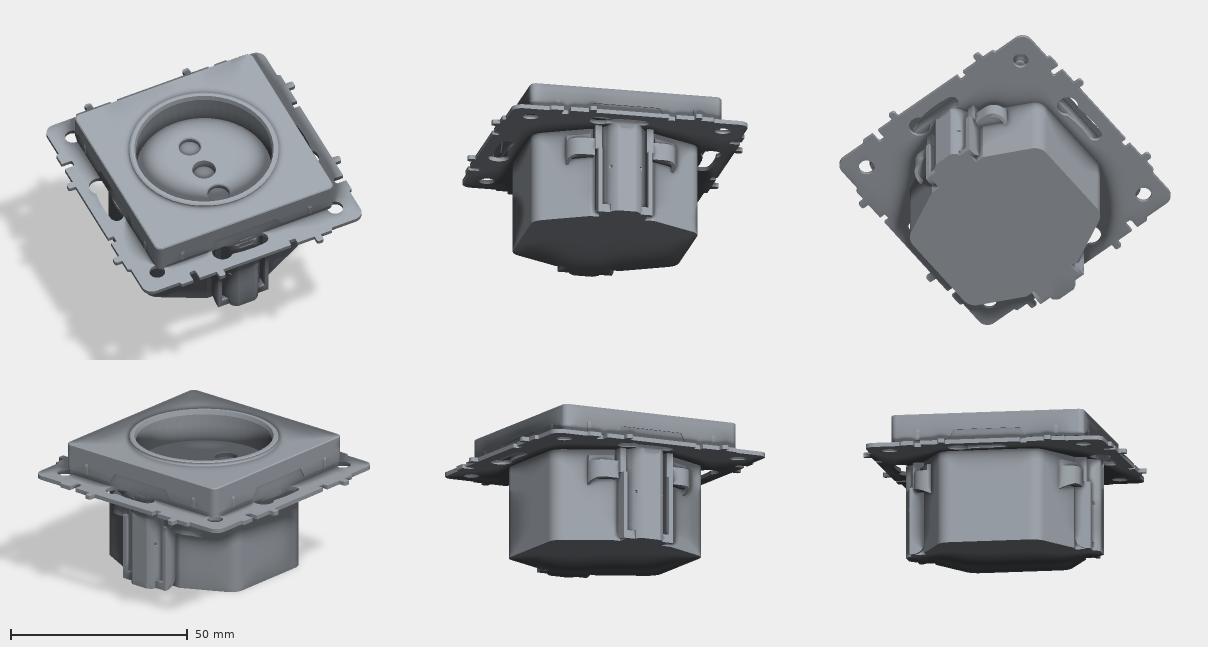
import cadquery as cq
import math

PLATE_BOTTOM = 26.3
PLATE_THICKNESS = 1.2
PLATE_TOP = PLATE_BOTTOM + PLATE_THICKNESS
COVER_BOTTOM = 28.9
COVER_TOP = 36.5
RING_TOP = 37.65
WELL_FLOOR = 28.6

PLATE_REACH = 37.2
PLATE_CORNER_HALF = 34.2
PLATE_CORNER_RADIUS = 3.0
PLATE_EDGE_HALF = 35.1
EDGE_STEP_START = 23.5
EDGE_STEP_END = 23.95
NEAR_OFFSET = 11.7
FAR_OFFSET = 19.0
TAB_WIDTH = 2.0
TAB_RADIUS = 0.6
SHALLOW_NOTCH_DEPTH = 1.7
DEEP_NOTCH_DEPTH = 3.1
NOTCH_RADIUS = 0.5
SCREW_HOLE_OFFSET = 27.9
SCREW_HOLE_RADIUS = 2.2
ARC_SLOT_RADIUS = 29.6
ARC_SLOT_HALF_WIDTH = 1.9
ARC_SLOT_END_OFFSET = 4.1
KEYHOLE_OFFSET = 7.95
KEYHOLE_CENTRE_RADIUS = 30.05
KEYHOLE_RADIUS = 3.0

COVER_HALF = 27.8
COVER_CORNER_RADIUS = 1.8
COVER_EDGE_BEVEL = 0.3
FRAME_HALF = 27.5
FRAME_CORNER_RADIUS = 1.5
WINDOW_TOP = 31.8
WINDOW_BASE_HALF = 11.15
WINDOW_TOP_HALF = 9.5
RIB_OFFSET = 19.95
RIB_WIDTH = 1.05
RIB_TOP = 32.15
RIB_BEVEL = 0.8
RIB_PROUD = 0.2

RING_BASE_RADIUS = 21.65
RING_SHOULDER_RADIUS = 21.1
RING_CREST_RADIUS = 20.7
RING_LIP_RADIUS = 19.7
WELL_RADIUS = 19.3
RING_OUTER_BEVEL = 0.2
RING_INNER_BEVEL = 1.2
RING_HOLLOW = 0.185
PIN_PITCH = 9.5
PIN_MOUTH_RADIUS = 3.35
SIDE_PIN_RADIUS = 3.05
SIDE_PIN_DEPTH = 1.5
CENTRE_PIN_FLOOR_RADIUS = 3.1
CENTRE_PIN_DEPTH = 2.3

HOUSING_HALF_Y = 24.1
HOUSING_SHOULDER_X = 14.05
HOUSING_SIDE_X = 21.6
HOUSING_SIDE_Y = 9.3
HOUSING_EDGE_RADIUS = 4.2
TOWER_REACH = 28.05
TOWER_FACE_HALF = 2.6
TOWER_NECK_X = 25.0
TOWER_NECK_HALF = 5.2
TOWER_CORNER_BULGE = 0.3
TOWER_ROOT_X = 23.1
TOWER_ROOT_HALF = 6.55
TOWER_HEAD_HALF = 8.4
RAIL_TOP = 19.2
RAIL_OUTER_X = 26.05
RAIL_INNER_Y = 6.7
RAIL_OUTER_Y = 7.9
RAIL_BOTTOM_RADIUS = 3.7
FOOT_HEIGHT = 2.3
FOOT_INNER_Y = 4.3
DIMPLE_HEIGHT = 13.55
DIMPLE_SIZE = 0.9
DIMPLE_OFFSET = 4.5
POCKET_BOTTOM = 24.9
POCKET_BASE_HALF = 1.85
POCKET_DEPTH = 0.3

CLAW_INNER_X = 18.4
CLAW_OUTER_X = 23.95
CLAW_FRONT_Y = 15.6
CLAW_BEND_START_Y = 11.6
CLAW_BOTTOM = 17.6
CLAW_TOP = 22.6
CLAW_STRIP_TOP = 24.4
CLAW_STRIP_WIDTH = 1.1
CLAW_LIP_THICKNESS = 1.0
CLAW_LIP_BOTTOM = 15.9
CLAW_SLOPE_END_X = 22.9


def block(x_range, y_range, z_range):
    size = [high - low for low, high in (x_range, y_range, z_range)]
    return cq.Workplane("XY").box(*size, centered=False).translate((x_range[0], y_range[0], z_range[0]))


def prism(points, bottom, top):
    return cq.Workplane("XY").workplane(offset=bottom).polyline(points).close().extrude(top - bottom)


def rounded_square(half, radius, bottom, top):
    square = cq.Workplane("XY").workplane(offset=bottom).rect(2 * half, 2 * half).extrude(top - bottom)
    return square.edges("|Z").fillet(radius)


def four_times(shape):
    """Repeat a feature of the +Y edge on all four edges."""
    ring = shape
    for turn in (90, 180, 270):
        ring = ring.union(shape.rotate((0, 0, 0), (0, 0, 1), turn))
    return ring


def on_all_quadrants(shape):
    """Mirror a feature of the +X +Y quadrant into the other three."""
    pair = shape.union(shape.mirror("YZ"))
    return pair.union(pair.mirror("XZ"))


def edge_tab(offset):
    tab = block(
        (offset - TAB_WIDTH / 2, offset + TAB_WIDTH / 2),
        (PLATE_CORNER_HALF, PLATE_REACH),
        (PLATE_BOTTOM, PLATE_TOP),
    )
    return tab.edges("|Z and >Y").fillet(TAB_RADIUS)


def edge_notch(offset, depth):
    return block(
        (offset - TAB_WIDTH / 2, offset + TAB_WIDTH / 2),
        (PLATE_EDGE_HALF - depth, PLATE_REACH),
        (PLATE_BOTTOM, PLATE_TOP),
    )


def arc_slot():
    """Slot curved about the centre, with a round keyhole at one end."""
    end_height = math.sqrt(ARC_SLOT_RADIUS**2 - ARC_SLOT_END_OFFSET**2)
    inner = (ARC_SLOT_RADIUS - ARC_SLOT_HALF_WIDTH) / ARC_SLOT_RADIUS
    outer = (ARC_SLOT_RADIUS + ARC_SLOT_HALF_WIDTH) / ARC_SLOT_RADIUS
    key_y = math.sqrt(KEYHOLE_CENTRE_RADIUS**2 - KEYHOLE_OFFSET**2)
    far_y = math.sqrt(ARC_SLOT_RADIUS**2 - KEYHOLE_OFFSET**2)
    plane = cq.Workplane("XY").workplane(offset=PLATE_BOTTOM)
    band = (
        plane.moveTo(-ARC_SLOT_END_OFFSET * inner, end_height * inner)
        .threePointArc((0, ARC_SLOT_RADIUS * inner), (KEYHOLE_OFFSET * inner, far_y * inner))
        .lineTo(KEYHOLE_OFFSET * outer, far_y * outer)
        .threePointArc((0, ARC_SLOT_RADIUS * outer), (-ARC_SLOT_END_OFFSET * outer, end_height * outer))
        .close()
        .extrude(PLATE_THICKNESS)
    )
    end_centre = plane.center(-ARC_SLOT_END_OFFSET, end_height)
    round_end = end_centre.circle(ARC_SLOT_HALF_WIDTH).extrude(PLATE_THICKNESS)
    keyhole = plane.center(KEYHOLE_OFFSET, key_y).circle(KEYHOLE_RADIUS).extrude(PLATE_THICKNESS)
    return band.union(round_end).union(keyhole)


def mounting_plate():
    plate = rounded_square(PLATE_CORNER_HALF, PLATE_CORNER_RADIUS, PLATE_BOTTOM, PLATE_TOP)
    raised_edge = prism(
        [
            (-EDGE_STEP_END, PLATE_CORNER_HALF),
            (-EDGE_STEP_START, PLATE_EDGE_HALF),
            (EDGE_STEP_START, PLATE_EDGE_HALF),
            (EDGE_STEP_END, PLATE_CORNER_HALF),
            (0, 0),
        ],
        PLATE_BOTTOM,
        PLATE_TOP,
    )
    tabs = edge_tab(-FAR_OFFSET).union(edge_tab(NEAR_OFFSET))
    deep_notch = edge_notch(FAR_OFFSET, DEEP_NOTCH_DEPTH).edges("|Z and <Y").fillet(NOTCH_RADIUS)
    notches = edge_notch(-NEAR_OFFSET, SHALLOW_NOTCH_DEPTH).union(deep_notch)
    screw_hole = (
        cq.Workplane("XY")
        .workplane(offset=PLATE_BOTTOM)
        .center(SCREW_HOLE_OFFSET, SCREW_HOLE_OFFSET)
        .circle(SCREW_HOLE_RADIUS)
        .extrude(PLATE_THICKNESS)
    )
    openings = notches.union(screw_hole).union(arc_slot())
    return plate.union(four_times(raised_edge.union(tabs))).cut(four_times(openings))


def cover_window():
    """Trapezoidal opening in the skirt that bares the frame."""
    return (
        cq.Workplane("XZ", origin=(0, FRAME_HALF, 0))
        .polyline(
            [
                (-WINDOW_BASE_HALF, COVER_BOTTOM),
                (-WINDOW_TOP_HALF, WINDOW_TOP),
                (WINDOW_TOP_HALF, WINDOW_TOP),
                (WINDOW_BASE_HALF, COVER_BOTTOM),
            ]
        )
        .close()
        .extrude(FRAME_HALF - COVER_HALF)
    )


def skirt_rib(offset):
    face = COVER_HALF + RIB_PROUD
    return (
        cq.Workplane("YZ", origin=(offset - RIB_WIDTH / 2, 0, 0))
        .polyline(
            [
                (FRAME_HALF, COVER_BOTTOM),
                (face, COVER_BOTTOM),
                (face, RIB_TOP - RIB_BEVEL),
                (COVER_HALF, RIB_TOP),
                (FRAME_HALF, RIB_TOP),
            ]
        )
        .close()
        .extrude(RIB_WIDTH)
    )


def cover():
    shell = rounded_square(COVER_HALF, COVER_CORNER_RADIUS, COVER_BOTTOM, COVER_TOP)
    shell = shell.faces(">Z").edges().chamfer(COVER_EDGE_BEVEL)
    frame = rounded_square(FRAME_HALF, FRAME_CORNER_RADIUS, PLATE_TOP, COVER_BOTTOM)
    ribs = skirt_rib(-RIB_OFFSET).union(skirt_rib(RIB_OFFSET))
    return shell.cut(four_times(cover_window())).union(four_times(ribs)).union(frame)


def socket_ring():
    flank_middle = (
        (RING_BASE_RADIUS + RING_SHOULDER_RADIUS) / 2 - RING_HOLLOW,
        (COVER_TOP + RING_TOP - RING_OUTER_BEVEL) / 2 - RING_HOLLOW,
    )
    return (
        cq.Workplane("XZ")
        .moveTo(WELL_RADIUS, COVER_BOTTOM)
        .lineTo(RING_BASE_RADIUS, COVER_BOTTOM)
        .lineTo(RING_BASE_RADIUS, COVER_TOP)
        .threePointArc(flank_middle, (RING_SHOULDER_RADIUS, RING_TOP - RING_OUTER_BEVEL))
        .lineTo(RING_CREST_RADIUS, RING_TOP)
        .lineTo(RING_LIP_RADIUS, RING_TOP)
        .lineTo(WELL_RADIUS, RING_TOP - RING_INNER_BEVEL)
        .close()
        .revolve(360, (0, 0, 0), (0, 1, 0))
    )


def socket_well():
    """The round well together with the bevel around its mouth."""
    return (
        cq.Workplane("XZ")
        .polyline(
            [
                (0, WELL_FLOOR),
                (WELL_RADIUS, WELL_FLOOR),
                (WELL_RADIUS, RING_TOP - RING_INNER_BEVEL),
                (RING_LIP_RADIUS, RING_TOP),
                (0, RING_TOP),
            ]
        )
        .close()
        .revolve(360, (0, 0, 0), (0, 1, 0))
    )


def pin_holes():
    """A tapered centre hole between two straight holes with bevelled mouths."""
    floor = cq.Workplane("XY").workplane(offset=WELL_FLOOR)
    centre = floor.circle(PIN_MOUTH_RADIUS).workplane(offset=-CENTRE_PIN_DEPTH)
    holes = centre.circle(CENTRE_PIN_FLOOR_RADIUS).loft()
    mouth_bevel = PIN_MOUTH_RADIUS - SIDE_PIN_RADIUS
    for x in (-PIN_PITCH, PIN_PITCH):
        bore = floor.center(x, 0).circle(SIDE_PIN_RADIUS).extrude(-SIDE_PIN_DEPTH)
        mouth = floor.center(x, 0).circle(PIN_MOUTH_RADIUS).workplane(offset=-mouth_bevel)
        holes = holes.union(bore).union(mouth.circle(SIDE_PIN_RADIUS).loft())
    return holes


def housing_core():
    corners = [(HOUSING_SIDE_X, HOUSING_SIDE_Y), (HOUSING_SHOULDER_X, HOUSING_HALF_Y)]
    upper = corners + [(-x, y) for x, y in reversed(corners)]
    outline = upper + [(-x, -y) for x, y in upper]
    core = prism(outline, 0, PLATE_BOTTOM)
    return core.edges("|Z").edges(">Y or <Y").fillet(HOUSING_EDGE_RADIUS)


def tower_half():
    """The +X +Y quarter of a side tower with its rail and foot."""
    corner_middle = (
        (TOWER_REACH + TOWER_NECK_X) / 2 + TOWER_CORNER_BULGE,
        (TOWER_FACE_HALF + TOWER_NECK_HALF) / 2 + TOWER_CORNER_BULGE,
    )
    column = (
        cq.Workplane("XY")
        .lineTo(TOWER_REACH, 0)
        .lineTo(TOWER_REACH, TOWER_FACE_HALF)
        .threePointArc(corner_middle, (TOWER_NECK_X, TOWER_NECK_HALF))
        .lineTo(TOWER_ROOT_X, TOWER_ROOT_HALF)
        .lineTo(0, TOWER_ROOT_HALF)
        .close()
        .extrude(PLATE_BOTTOM)
    )
    foot_notch = block((RAIL_OUTER_X, TOWER_REACH), (FOOT_INNER_Y, RAIL_INNER_Y), (0, FOOT_HEIGHT))
    dimple = block(
        (RAIL_OUTER_X, TOWER_REACH),
        (DIMPLE_OFFSET - DIMPLE_SIZE / 2, DIMPLE_OFFSET + DIMPLE_SIZE / 2),
        (DIMPLE_HEIGHT - DIMPLE_SIZE / 2, DIMPLE_HEIGHT + DIMPLE_SIZE / 2),
    )
    head = block((0, TOWER_NECK_X), (TOWER_ROOT_HALF, TOWER_HEAD_HALF), (RAIL_TOP, PLATE_BOTTOM))
    rail = block((HOUSING_SIDE_X, RAIL_OUTER_X), (RAIL_INNER_Y, RAIL_OUTER_Y), (0, RAIL_TOP))
    rail = rail.edges("|Y and <X and <Z").fillet(RAIL_BOTTOM_RADIUS)
    foot = block((HOUSING_SIDE_X, RAIL_OUTER_X), (FOOT_INNER_Y, RAIL_INNER_Y), (0, FOOT_HEIGHT))
    return column.cut(foot_notch).cut(dimple).union(head).union(rail).union(foot)


def tower_pockets():
    """Shallow tapered pockets at the top of both flat tower faces."""
    return (
        cq.Workplane("YZ", origin=(POCKET_DEPTH - TOWER_REACH, 0, 0))
        .polyline(
            [
                (-POCKET_BASE_HALF, POCKET_BOTTOM),
                (POCKET_BASE_HALF, POCKET_BOTTOM),
                (TOWER_FACE_HALF, PLATE_BOTTOM),
                (-TOWER_FACE_HALF, PLATE_BOTTOM),
            ]
        )
        .close()
        .extrude(-POCKET_DEPTH)
        .mirror("YZ", union=True)
    )


def claw_leaf(inset, bottom, top):
    """Plate with a rounded outer corner, moved inwards by inset."""
    return (
        cq.Workplane("XY")
        .workplane(offset=bottom)
        .moveTo(0, TOWER_HEAD_HALF)
        .lineTo(CLAW_OUTER_X - inset, TOWER_HEAD_HALF)
        .lineTo(CLAW_OUTER_X - inset, CLAW_BEND_START_Y)
        .tangentArcPoint((CLAW_INNER_X, CLAW_FRONT_Y - inset), relative=False)
        .lineTo(0, CLAW_FRONT_Y - inset)
        .close()
        .extrude(top - bottom)
    )


def claw():
    """Bent claw on the +X +Y slanted side, with a raised strip and a sloping lip."""
    leaf = claw_leaf(0, CLAW_LIP_BOTTOM, CLAW_TOP)
    hollow = claw_leaf(CLAW_LIP_THICKNESS, CLAW_LIP_BOTTOM, CLAW_BOTTOM)
    below_slope = (
        cq.Workplane("XZ")
        .polyline(
            [
                (CLAW_INNER_X, CLAW_LIP_BOTTOM),
                (CLAW_SLOPE_END_X, CLAW_BOTTOM),
                (CLAW_OUTER_X, CLAW_BOTTOM),
                (CLAW_OUTER_X, CLAW_LIP_BOTTOM),
            ]
        )
        .close()
        .extrude(-HOUSING_HALF_Y)
    )
    strip = prism(
        [
            (CLAW_INNER_X, CLAW_FRONT_Y),
            (CLAW_INNER_X + CLAW_STRIP_WIDTH, CLAW_FRONT_Y),
            (HOUSING_SIDE_X + CLAW_STRIP_WIDTH, HOUSING_SIDE_Y),
            (0, HOUSING_SIDE_Y),
        ],
        CLAW_TOP,
        CLAW_STRIP_TOP,
    )
    return leaf.cut(hollow).cut(below_slope).union(strip)


housing = housing_core().union(on_all_quadrants(tower_half().union(claw()))).cut(tower_pockets())
front = cover().union(socket_ring())
result = housing.union(mounting_plate()).union(front).cut(socket_well()).cut(pin_holes())